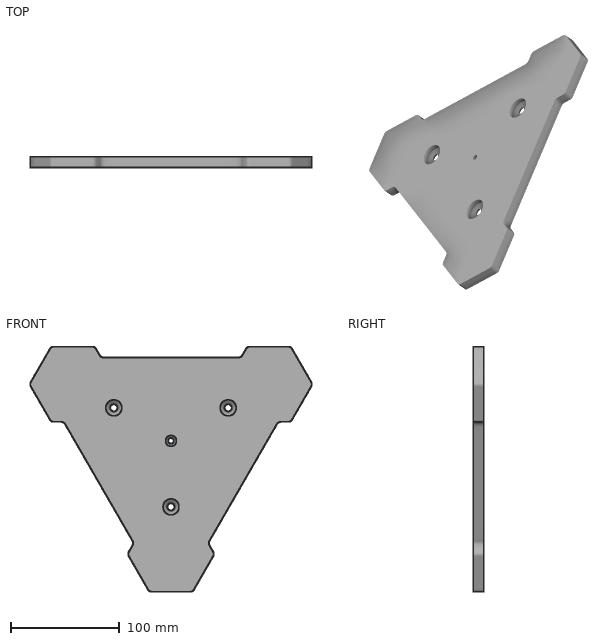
import cadquery as cq
import math

THICKNESS = 10.0
PAD_SIDE = 40.0
PAD_SPACING = 180.0
EDGE_SETBACK = 10.0
CORNER_RADIUS = 4.0

MOUNT_HOLE_SPACING = 105.0
MOUNT_HOLE_DIAMETER = 6.4
MOUNT_SINK_DIAMETER = 14.7
MOUNT_BORE_DIAMETER = 20.0
MOUNT_BORE_DEPTH = 5.0

CENTRE_HOLE_DIAMETER = 5.0
CENTRE_SINK_DIAMETER = 10.0
SINK_ANGLE = 90.0

PAD_CENTRE_RADIUS = PAD_SPACING / math.sqrt(3)
PAD_HALF_FLATS = PAD_SIDE * math.sqrt(3) / 2
EDGE_DISTANCE = PAD_CENTRE_RADIUS / 2 + PAD_HALF_FLATS - EDGE_SETBACK
MOUNT_HOLE_RADIUS = MOUNT_HOLE_SPACING / math.sqrt(3)

SPOKE_ANGLES = (-90, 30, 150)


def polar(radius, angle):
    """Point in the plate's face at a distance and angle (degrees) from its centre."""
    return (radius * math.cos(math.radians(angle)), radius * math.sin(math.radians(angle)))


def front_face():
    """Sketch plane on the front face (-Y side), local x along X and local y along Z."""
    return cq.Workplane("XZ")


def make_plate():
    """Triangular web joined to a hexagonal pad at each corner, all outline corners rounded."""
    half_edge = PAD_SPACING / 2
    web_corner_radius = math.hypot(half_edge, EDGE_DISTANCE)
    corner_offset = 60 - math.degrees(math.atan2(half_edge, EDGE_DISTANCE))
    web_points = [
        polar(web_corner_radius, spoke + side * corner_offset)
        for spoke in SPOKE_ANGLES
        for side in (-1, 1)
    ]
    plate = front_face().polyline(web_points).close().extrude(-THICKNESS)
    pads = (
        front_face()
        .pushPoints([polar(PAD_CENTRE_RADIUS, angle) for angle in SPOKE_ANGLES])
        .polygon(6, 2 * PAD_SIDE)
        .extrude(-THICKNESS)
    )
    return plate.union(pads, clean=True).edges("|Y").fillet(CORNER_RADIUS)


def cut_countersunk_holes(plate, points, hole_diameter, sink_diameter):
    """Through holes with conical countersinks opening on the front face."""
    return (
        plate.faces("<Y")
        .workplane(origin=(0, 0, 0))
        .pushPoints(points)
        .cskHole(hole_diameter, sink_diameter, SINK_ANGLE)
    )


def cut_back_counterbores(plate, points):
    """Flat-bottomed counterbores sunk from the back face (+Y side)."""
    bores = (
        front_face()
        .workplane(offset=-THICKNESS)
        .pushPoints(points)
        .circle(MOUNT_BORE_DIAMETER / 2)
        .extrude(MOUNT_BORE_DEPTH)
    )
    return plate.cut(bores)


mount_points = [polar(MOUNT_HOLE_RADIUS, angle) for angle in SPOKE_ANGLES]

plate = make_plate()
plate = cut_countersunk_holes(plate, mount_points, MOUNT_HOLE_DIAMETER, MOUNT_SINK_DIAMETER)
plate = cut_back_counterbores(plate, mount_points)
result = cut_countersunk_holes(plate, [(0, 0)], CENTRE_HOLE_DIAMETER, CENTRE_SINK_DIAMETER)